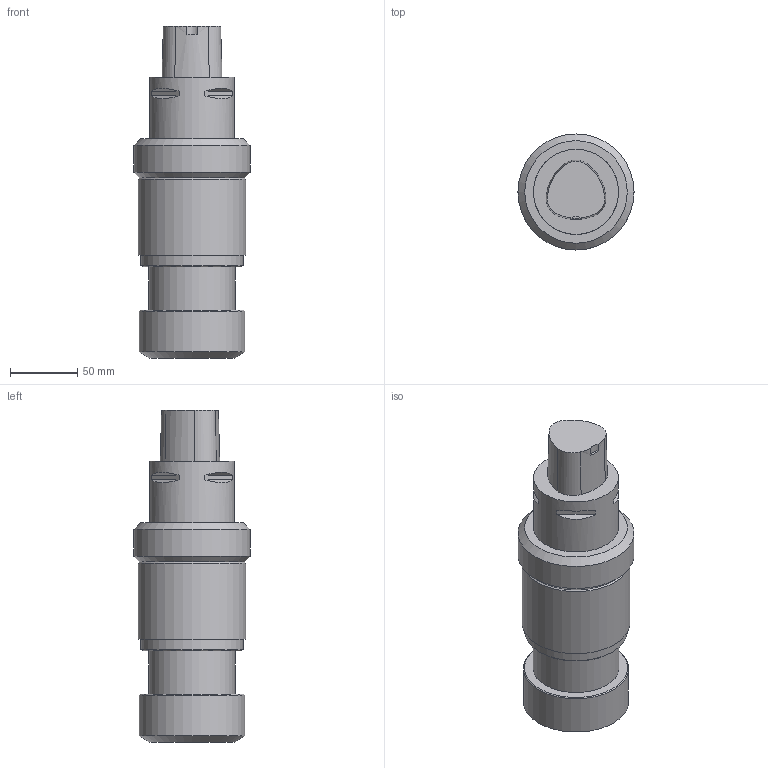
import cadquery as cq
import math


shank_length = 38.0
shank_mean_diameter = 44.1
shank_eccentricity = 1.5
shank_taper = 1 / 20
shank_top_diameter = shank_mean_diameter - shank_length * shank_taper
lobe_directions = (90, 210, 330)
lobe_spacing = 360 / len(lobe_directions)
lobe_half_angle = 36.0

notch_width = 8.0
notch_depth = 1.5
notch_height = 6.0

head_diameter = 63.0
groove_count = 4
groove_spacing = 360 / groove_count
first_groove_angle = groove_spacing / 2
groove_depth = 3.5
groove_floor_height = 3.6
groove_flank_angle = 30.0
groove_center_z = -12.0

flange_diameter = 86.0
flange_top_z = -45.4
flange_height = 25.0
flange_top_chamfer = 5.0

body_diameter = 80.0
body_chamfer = 1.0
body_bottom_z = -131.7
neck_diameter = body_diameter - 2 * body_chamfer

collar_diameter = 75.92
collar_bottom_z = -140.5
collar_chamfer = 1.0

spindle_diameter = 63.82
nut_diameter = 78.0
nut_top_z = -172.6
nut_top_chamfer = 0.7
nut_bottom_z = -208.0
nut_taper_height = 4.5
nut_taper_width = 7.2


def make_turned_body():
    """Revolve the half profile of everything below the shank."""
    flange_bottom_z = flange_top_z - flange_height
    body_top_z = flange_bottom_z - (flange_diameter - neck_diameter) / 2
    profile = [
        (0, 0),
        (head_diameter / 2, 0),
        (head_diameter / 2, flange_top_z),
        (flange_diameter / 2 - flange_top_chamfer, flange_top_z),
        (flange_diameter / 2, flange_top_z - flange_top_chamfer),
        (flange_diameter / 2, flange_bottom_z),
        (neck_diameter / 2, body_top_z),
        (body_diameter / 2, body_top_z - body_chamfer),
        (body_diameter / 2, body_bottom_z),
        (collar_diameter / 2, body_bottom_z),
        (collar_diameter / 2, collar_bottom_z + collar_chamfer),
        (collar_diameter / 2 - collar_chamfer, collar_bottom_z),
        (spindle_diameter / 2, collar_bottom_z),
        (spindle_diameter / 2, nut_top_z),
        (nut_diameter / 2 - nut_top_chamfer, nut_top_z),
        (nut_diameter / 2, nut_top_z - nut_top_chamfer),
        (nut_diameter / 2, nut_bottom_z + nut_taper_height),
        (nut_diameter / 2 - nut_taper_width, nut_bottom_z),
        (0, nut_bottom_z),
    ]
    return cq.Workplane("XZ").polyline(profile).close().revolve(360, (0, 0), (0, 1))


def polygon_point(mean_diameter, degrees):
    """Point of the three-lobed polygon curve at the given curve parameter."""
    t = math.radians(degrees)
    radius = mean_diameter / 2
    e = shank_eccentricity
    x = radius * math.cos(t) - 2 * e * math.sin(2 * t) + e * math.sin(4 * t)
    y = radius * math.sin(t) - 2 * e * math.cos(2 * t) - e * math.cos(4 * t)
    return (x, y)


def polygon_wire(workplane, mean_diameter):
    """Close the polygon from three lobe arcs alternating with three flank arcs."""
    start_angle = lobe_directions[0] - lobe_half_angle
    wire = workplane.moveTo(*polygon_point(mean_diameter, start_angle))
    for lobe_angle in lobe_directions:
        lobe_tip = polygon_point(mean_diameter, lobe_angle)
        lobe_end = polygon_point(mean_diameter, lobe_angle + lobe_half_angle)
        flank_middle = polygon_point(mean_diameter, lobe_angle + lobe_spacing / 2)
        flank_end = polygon_point(mean_diameter, lobe_angle + lobe_spacing - lobe_half_angle)
        wire = wire.threePointArc(lobe_tip, lobe_end).threePointArc(flank_middle, flank_end)
    return wire.close()


def make_shank():
    """Loft the polygon with straight sides from the shoulder to the smaller top end."""
    base = polygon_wire(cq.Workplane("XY"), shank_mean_diameter)
    ends = polygon_wire(base.workplane(offset=shank_length), shank_top_diameter)
    return ends.loft(ruled=True)


def make_key_notch():
    """Cylindrical cutter that scoops the key notch out of the upper end of the -Y flank."""
    flank_distance = shank_top_diameter / 2 - shank_eccentricity
    scoop_radius = notch_width**2 / (8 * notch_depth) + notch_depth / 2
    scoop_y = notch_depth - flank_distance - scoop_radius
    notch_plane = cq.Workplane("XY", origin=(0, scoop_y, shank_length - notch_height))
    return notch_plane.circle(scoop_radius).extrude(notch_height)


def make_gripper_groove(angle):
    """Trapezoidal groove cutter with a flat chord floor, facing the given direction."""
    floor_distance = head_diameter / 2 - groove_depth
    flank_rise = groove_depth * math.tan(math.radians(groove_flank_angle))
    half_floor = groove_floor_height / 2
    half_mouth = half_floor + flank_rise
    section = [
        (floor_distance, -half_floor),
        (head_diameter / 2, -half_mouth),
        (head_diameter / 2, half_mouth),
        (floor_distance, half_floor),
    ]
    cutter = cq.Workplane("XZ").polyline(section).close().extrude(head_diameter / 2, both=True)
    return cutter.translate((0, 0, groove_center_z)).rotate((0, 0, 0), (0, 0, 1), angle)


result = make_turned_body().union(make_shank()).cut(make_key_notch())
for index in range(groove_count):
    result = result.cut(make_gripper_groove(first_groove_angle + index * groove_spacing))